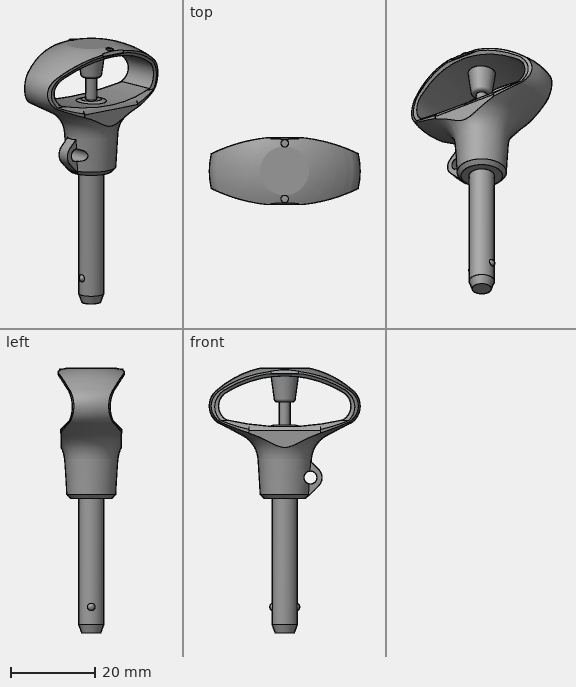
import cadquery as cq
import math

total_height = 63.0

overlap = 0.6

pin_radius = 3.0
tip_radius = 2.25
tip_height = 2.1

ball_radius = 0.95
ball_reach = 3.6
ball_height = 6.25

sleeve_bottom = 32.0
sleeve_bottom_radius = 4.9
sleeve_bevel_radius = 5.85
sleeve_bevel_top = 33.0
sleeve_top = 41.3
sleeve_top_radius = 6.35

crown_radius = 5.8
shoulder_radius = 16.3
shoulder_height = 57.6
bulge_radius = 17.95
bulge_height = 53.8
belly_radius = 16.0
belly_height = 50.1
neck_top_radius = 10.35
neck_top_height = 47.1
crown_arc_mid = (11.15, 61.1)
neck_arc_mid = (7.6, 44.85)

plan_arc_radius = 39.7
plan_half_depth = 8.2
top_half_depth = 7.95
top_edge_height = 61.55
bottom_half_depth = 7.4
bottom_edge_height = 48.3
waist_top = (5.4, 57.65)
waist_mid = (4.55, 53.55)
waist_bottom = (5.15, 50.5)

flat_half_length = 8.45
flat_half_depth = 7.2
flat_edge_height = 48.15
flat_lip = (6.75, 48.95)

bevel_half_length = 3.3
bevel_bottom = (7.95, 61.75)
bevel_top = (7.5, 62.7)

window_half_length = 15.7
window_mid_height = 53.85
window_ceiling = 61.1
window_floor = 49.1
window_upper_corner = (14.25, 56.95)
window_lower_corner = (14.0, 50.8)

button_top_radius = 3.3
button_radius = 2.5
button_bottom = 54.95
button_round = 0.75
rod_radius = 1.3
hub_base_radius = 3.8
hub_top_radius = 2.45
hub_height = 0.45

dowel_radius = 0.9
dowel_offset = 6.6
dowel_top = 62.8

tab_center_x = 6.1
tab_center_z = 37.0
tab_radius = 2.8
tab_root_x = 5.7
tab_hole_radius = 1.5
tab_thickness = 3.0


def make_handle_blank():
    """Handle and sleeve as one turned shape."""
    profile = (
        cq.Workplane("XZ")
        .moveTo(0, sleeve_bottom)
        .lineTo(sleeve_bottom_radius, sleeve_bottom)
        .lineTo(sleeve_bevel_radius, sleeve_bevel_top)
        .lineTo(sleeve_top_radius, sleeve_top)
        .threePointArc(neck_arc_mid, (neck_top_radius, neck_top_height))
        .lineTo(belly_radius, belly_height)
        .threePointArc((bulge_radius, bulge_height), (shoulder_radius, shoulder_height))
        .threePointArc(crown_arc_mid, (crown_radius, total_height))
        .lineTo(0, total_height)
        .close()
    )
    blank = profile.revolve(360, (0, 0, 0), (0, 1, 0))
    return blank.rotate((0, 0, 0), (0, 0, 1), 180)


def make_plan_limit():
    """Upright prism with two bowed sides, meeting in a point at each end."""
    arc_center_offset = plan_arc_radius - plan_half_depth
    end_x = math.sqrt(plan_arc_radius**2 - arc_center_offset**2)
    return (
        cq.Workplane("XY")
        .moveTo(-end_x, 0)
        .threePointArc((0, plan_half_depth), (end_x, 0))
        .threePointArc((0, -plan_half_depth), (-end_x, 0))
        .close()
        .extrude(total_height)
    )


def make_waist_limit():
    """Hourglass prism running along X."""

    def mirrored(point):
        return (-point[0], point[1])

    return (
        cq.Workplane("YZ")
        .moveTo(-bottom_half_depth, 0)
        .lineTo(bottom_half_depth, 0)
        .lineTo(bottom_half_depth, bottom_edge_height)
        .lineTo(*waist_bottom)
        .threePointArc(waist_mid, waist_top)
        .lineTo(top_half_depth, top_edge_height)
        .lineTo(top_half_depth, total_height)
        .lineTo(-top_half_depth, total_height)
        .lineTo(-top_half_depth, top_edge_height)
        .lineTo(*mirrored(waist_top))
        .threePointArc(mirrored(waist_mid), mirrored(waist_bottom))
        .lineTo(-bottom_half_depth, bottom_edge_height)
        .close()
        .extrude(bulge_radius + overlap, both=True)
    )


def mirrored_prism(half_length, points):
    """Prism along X from a YZ outline, together with its mirror image across Y = 0."""
    prism = cq.Workplane("YZ").polyline(points).close().extrude(half_length, both=True)
    return prism.union(prism.mirror("XZ"))


def make_neck_flat_cutter():
    """Material outside the neck flats; the upper part leans inward up to a lip."""
    lip_y, lip_z = flat_lip
    outside = plan_half_depth + overlap
    return mirrored_prism(
        flat_half_length,
        [
            (flat_half_depth, sleeve_top),
            (flat_half_depth, flat_edge_height),
            (lip_y, lip_z),
            (outside, lip_z),
            (outside, sleeve_top),
        ],
    )


def make_crown_bevel_cutter():
    """Material outside the two sloping crown bevels."""
    bottom_y, bottom_z = bevel_bottom
    top_y, top_z = bevel_top
    outside = plan_half_depth + overlap
    return mirrored_prism(
        bevel_half_length,
        [
            (bottom_y, bottom_z),
            (top_y, top_z),
            (top_y, total_height),
            (outside, total_height),
            (outside, bottom_z),
        ],
    )


def make_window():
    """Oval opening running through the handle along Y."""
    upper_x, upper_z = window_upper_corner
    lower_x, lower_z = window_lower_corner
    return (
        cq.Workplane("XZ")
        .moveTo(-upper_x, upper_z)
        .threePointArc((0, window_ceiling), (upper_x, upper_z))
        .threePointArc((window_half_length, window_mid_height), (lower_x, lower_z))
        .threePointArc((0, window_floor), (-lower_x, lower_z))
        .threePointArc((-window_half_length, window_mid_height), (-upper_x, upper_z))
        .close()
        .extrude(bulge_radius, both=True)
    )


def make_button():
    """Tapered button under the crown, its rod and the raised hub around the rod."""
    root = window_ceiling + overlap
    hub_top = window_floor + hub_height
    round_sag = button_round * (1 - math.sqrt(0.5))
    round_mid = (button_radius - round_sag, button_bottom + round_sag)
    button = (
        cq.Workplane("XZ")
        .moveTo(0, button_bottom)
        .lineTo(button_radius - button_round, button_bottom)
        .threePointArc(round_mid, (button_radius, button_bottom + button_round))
        .lineTo(button_top_radius, window_ceiling)
        .lineTo(button_top_radius, root)
        .lineTo(0, root)
        .close()
        .revolve(360, (0, 0, 0), (0, 1, 0))
    )
    rod = cq.Workplane("XY").workplane(offset=sleeve_top).circle(rod_radius).extrude(root - sleeve_top)
    hub = (
        cq.Workplane("XZ")
        .moveTo(0, window_floor - overlap)
        .lineTo(hub_base_radius, window_floor - overlap)
        .lineTo(hub_base_radius, window_floor)
        .lineTo(hub_top_radius, hub_top)
        .lineTo(0, hub_top)
        .close()
        .revolve(360, (0, 0, 0), (0, 1, 0))
    )
    return button.union(rod).union(hub)


def make_dowel_pair(bottom, top):
    """Two upright cylinders at the dowel places, between two heights."""
    return (
        cq.Workplane("XY")
        .workplane(offset=bottom)
        .pushPoints([(0, dowel_offset), (0, -dowel_offset)])
        .circle(dowel_radius)
        .extrude(top - bottom)
    )


def make_pin():
    """Straight pin with a tapered tip and two locking balls."""
    pin = (
        cq.Workplane("XZ")
        .lineTo(tip_radius, 0)
        .lineTo(pin_radius, tip_height)
        .lineTo(pin_radius, sleeve_bevel_top)
        .lineTo(0, sleeve_bevel_top)
        .close()
        .revolve(360, (0, 0, 0), (0, 1, 0))
    )
    for side in (-1, 1):
        ball_x = side * (ball_reach - ball_radius)
        ball = cq.Workplane("XY").sphere(ball_radius).translate((ball_x, 0, ball_height))
        pin = pin.union(ball)
    return pin


def make_tab():
    """Rounded lug with 45 degree flanks, standing off the +X side of the sleeve."""
    reach = tab_radius * math.sqrt(0.5)
    flank_x = tab_center_x + reach
    root_half_height = reach + flank_x - tab_root_x
    return (
        cq.Workplane("XZ")
        .moveTo(tab_root_x, tab_center_z - root_half_height)
        .lineTo(flank_x, tab_center_z - reach)
        .threePointArc((tab_center_x + tab_radius, tab_center_z), (flank_x, tab_center_z + reach))
        .lineTo(tab_root_x, tab_center_z + root_half_height)
        .close()
        .extrude(tab_thickness / 2, both=True)
    )


def make_tab_hole():
    """Lanyard hole running along Y through the tab and the edge of the sleeve."""
    return (
        cq.Workplane("XZ")
        .center(tab_center_x, tab_center_z)
        .circle(tab_hole_radius)
        .extrude(sleeve_top_radius, both=True)
    )


handle = make_handle_blank().union(make_tab()).cut(make_tab_hole())
handle = handle.intersect(make_plan_limit()).intersect(make_waist_limit())
handle = handle.cut(make_neck_flat_cutter()).cut(make_crown_bevel_cutter())
handle = handle.cut(make_window())

dowel_seats = make_dowel_pair(dowel_top, total_height)
dowels = make_dowel_pair(top_edge_height, dowel_top)
handle = handle.cut(dowel_seats).union(dowels)

result = handle.union(make_button()).union(make_pin())